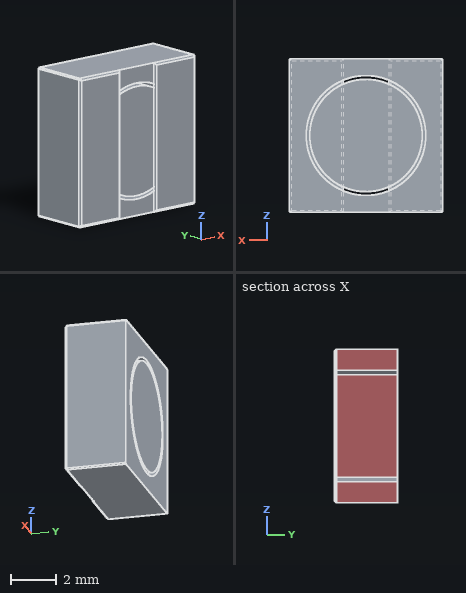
import cadquery as cq

side = 6.8
thickness = 2.8
corner_chamfer = 0.06

pad_height = 0.1
pad_gap = 2.0
pad_chamfer = 0.095
pad_width = (side - pad_gap) / 2

bore_radius = 2.645
core_radius = 2.49

body_depth = thickness - pad_height
back_y = thickness / 2
body_front_y = back_y - body_depth


def chamfered_block():
    """Square body with its four long edges along Y chamfered."""
    block = cq.Workplane("XZ", origin=(0, back_y, 0)).rect(side, side).extrude(body_depth)
    return block.edges("|Y").chamfer(corner_chamfer)


def ring_gap():
    """Annular gap running through the full depth of the body."""
    plane = cq.Workplane("XZ", origin=(0, back_y, 0))
    return plane.circle(bore_radius).circle(core_radius).extrude(body_depth)


def pad(direction):
    """Full-height pad on one side, trimmed at the body corners and chamfered around its face."""
    center_x = direction * (pad_gap + pad_width) / 2
    plate = (
        cq.Workplane("XZ", origin=(center_x, body_front_y, 0))
        .rect(pad_width, side)
        .extrude(pad_height)
    )
    outer_edges = ">X" if direction > 0 else "<X"
    plate = plate.edges("|Y").edges(outer_edges).chamfer(corner_chamfer)
    return plate.faces("<Y").chamfer(pad_chamfer)


result = chamfered_block().cut(ring_gap())
for pad_direction in (-1, 1):
    result = result.union(pad(pad_direction))